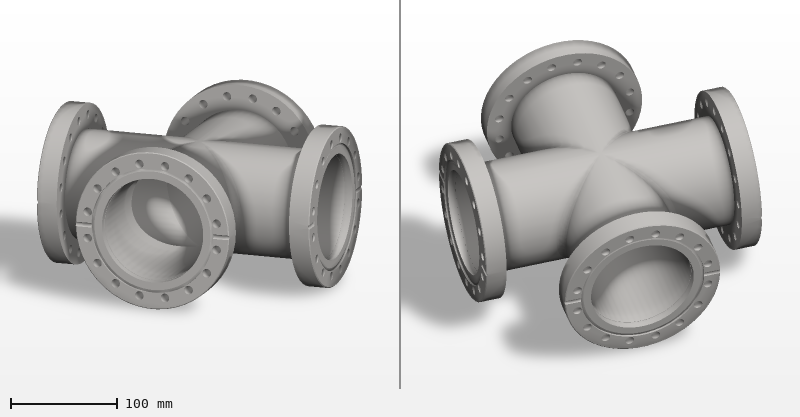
import cadquery as cq
import math

span = 270.0

tube_diameter = 104.0
tube_bore = 100.0
crotch_radius = 6.8
apex_size = 8.0

flange_diameter = 152.0
flange_thickness = 20.0
flange_bore = 100.5
rim_chamfer = 0.8
recess_diameter = 120.5
recess_depth = 2.2
knife_diameter = 115.0
knife_depth = 1.0
socket_diameter = 104.2
socket_depth = 8.6
insert_back_depth = 13.0

bolt_count = 16
bolt_circle = 130.1
bolt_hole = 8.5

groove_width = 4.3
groove_depth = 1.4

tube_length = span - 2 * socket_depth
flange_radius = flange_diameter / 2
recess_radius = recess_diameter / 2
knife_radius = knife_diameter / 2
bore_radius = flange_bore / 2
socket_radius = socket_diameter / 2
groove_radius = ((groove_width / 2) ** 2 + groove_depth ** 2) / (2 * groove_depth)
first_bolt_angle = 180 / bolt_count



def crossed_cylinders(diameter):
    """Two equal cylinders crossing at the origin along X and Y."""
    along_x = cq.Workplane("YZ").circle(diameter / 2).extrude(tube_length / 2, both=True)
    along_y = cq.Workplane("XZ").circle(diameter / 2).extrude(tube_length / 2, both=True)
    return along_x.union(along_y)


def is_crotch_edge(edge):
    """Crotch edges lie in the two vertical diagonal planes, away from the apex."""
    center = edge.Center()
    on_diagonal = math.isclose(abs(center.x), abs(center.y), abs_tol=0.03)
    return on_diagonal and abs(center.x) > apex_size


def make_tube_cross():
    """Crossed tubes with filleted crotches; the fillets die out at the top and bottom apex."""
    outside = crossed_cylinders(tube_diameter)
    apex_column = (
        cq.Workplane("XY")
        .rect(apex_size, apex_size)
        .extrude(tube_diameter, both=True)
        .rotate((0, 0, 0), (0, 0, 1), 45)
    )
    arms = outside.cut(apex_column)
    crotch_edges = [edge for edge in arms.edges().vals() if is_crotch_edge(edge)]
    arms = arms.newObject(crotch_edges).fillet(crotch_radius)
    apex = outside.intersect(apex_column)
    return arms.union(apex).cut(crossed_cylinders(tube_bore))



def revolve_profile(points):
    """Solid of revolution about Z from (radius, z) points."""
    return cq.Workplane("XZ").polyline(points).close().revolve(360, (0, 0), (0, 1))


def sealing_profile():
    """Knife edge land and sloping recess floor, from the bore outward."""
    return [
        (bore_radius, -knife_depth),
        (knife_radius, -knife_depth),
        (recess_radius, -recess_depth),
    ]


def rim_profile():
    """Recess wall top, sealing face, chamfered rim and back face, out and round to the tube."""
    return [
        (recess_radius, 0),
        (flange_radius - rim_chamfer, 0),
        (flange_radius, -rim_chamfer),
        (flange_radius, -flange_thickness),
        (socket_radius, -flange_thickness),
    ]


def socket_profile():
    """Shoulder that the tube end rests on, back to the bore."""
    return [
        (socket_radius, -socket_depth),
        (bore_radius, -socket_depth),
    ]


def cut_bolt_holes(body):
    holes = (
        cq.Workplane("XY")
        .polarArray(bolt_circle / 2, first_bolt_angle, 360, bolt_count)
        .circle(bolt_hole / 2)
        .extrude(-flange_thickness)
    )
    return body.cut(holes)


def cut_leak_grooves(body):
    """Two opposite round-bottomed grooves along X, starting over the recess floor."""
    start = (knife_radius + recess_radius) / 2
    axis_height = groove_radius - groove_depth
    for side in (1, -1):
        groove = (
            cq.Workplane("YZ", origin=(side * start, 0, axis_height))
            .circle(groove_radius)
            .extrude(side * (flange_radius - start))
        )
        body = body.cut(groove)
    return body


def make_fixed_flange():
    blank = revolve_profile(sealing_profile() + rim_profile() + socket_profile())
    return cut_leak_grooves(cut_bolt_holes(blank))


def make_insert():
    """Inner part of a rotatable flange: knife edge, bore and tube socket."""
    back_profile = [
        (recess_radius, -insert_back_depth),
        (socket_radius, -insert_back_depth),
    ]
    return revolve_profile(sealing_profile() + back_profile + socket_profile())


def make_bolt_ring():
    """Outer part of a rotatable flange: its rear lip bears on the back of the insert."""
    lip_profile = [
        (socket_radius, -insert_back_depth),
        (recess_radius, -insert_back_depth),
    ]
    blank = revolve_profile(rim_profile() + lip_profile)
    return cut_leak_grooves(cut_bolt_holes(blank))


def place_at_port(body, angle):
    """Put the sealing face on the -Y port, then turn it about Z to the wanted port."""
    return (
        body.rotate((0, 0, 0), (1, 0, 0), 90)
        .translate((0, -span / 2, 0))
        .rotate((0, 0, 0), (0, 0, 1), angle)
    )



rotatable_ports = (0, 180)
fixed_ports = (90, 270)

tube_cross = make_tube_cross()
fixed_flanges = [place_at_port(make_fixed_flange(), angle).val() for angle in fixed_ports]
inserts = [place_at_port(make_insert(), angle).val() for angle in rotatable_ports]
bolt_rings = [place_at_port(make_bolt_ring(), angle).val() for angle in rotatable_ports]

result = cq.Compound.makeCompound([tube_cross.val(), *fixed_flanges, *inserts, *bolt_rings])